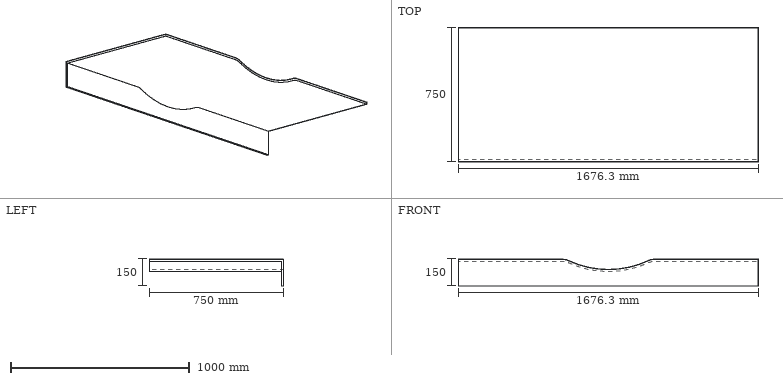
import cadquery as cq
import math

LENGTH = 1676.29
DEPTH = 750.0
HEIGHT = 150.0

THICKNESS = 12.0
FRONT_EDGE_RADIUS = 3.0

TROUGH_RADIUS = 525.0
SHOULDER_RADIUS = 73.0
TROUGH_DEPTH = 57.0

TURN_ANGLE = math.acos(1 - TROUGH_DEPTH / (TROUGH_RADIUS + SHOULDER_RADIUS))


def add_wave(profile, trough_radius, shoulder_radius, top, direction):
    """Continue a profile through shoulder, trough and shoulder to the flat beyond.

    The flats lie at height top; direction is 1 to run towards +X and -1 towards -X.
    """
    sine = math.sin(TURN_ANGLE)
    cosine = math.cos(TURN_ANGLE)
    half_sine = math.sin(TURN_ANGLE / 2)
    half_cosine = math.cos(TURN_ANGLE / 2)
    outer_x = (trough_radius + shoulder_radius) * sine
    joint_x = trough_radius * sine
    middle_x = outer_x - shoulder_radius * half_sine
    joint_z = top - shoulder_radius * (1 - cosine)
    middle_z = top - shoulder_radius * (1 - half_cosine)
    bottom_z = top - TROUGH_DEPTH
    start = -direction
    end = direction
    return (
        profile.lineTo(start * outer_x, top)
        .threePointArc((start * middle_x, middle_z), (start * joint_x, joint_z))
        .threePointArc((0, bottom_z), (end * joint_x, joint_z))
        .threePointArc((end * middle_x, middle_z), (end * outer_x, top))
    )


def upper_profile():
    """Start at the upper left corner and follow the upper surface to the right end."""
    profile = cq.Workplane("XZ", origin=(0, DEPTH / 2, 0)).moveTo(-LENGTH / 2, HEIGHT)
    profile = add_wave(profile, TROUGH_RADIUS, SHOULDER_RADIUS, HEIGHT, 1)
    return profile.lineTo(LENGTH / 2, HEIGHT)


def make_panel():
    """Waved top sheet of constant thickness."""
    underside = HEIGHT - THICKNESS
    profile = upper_profile().lineTo(LENGTH / 2, underside)
    profile = add_wave(
        profile, TROUGH_RADIUS + THICKNESS, SHOULDER_RADIUS - THICKNESS, underside, -1
    )
    return profile.lineTo(-LENGTH / 2, underside).close().extrude(DEPTH)


def make_body():
    """Panel joined to the front apron, whose top follows the waved upper surface."""
    block = upper_profile().lineTo(LENGTH / 2, 0).lineTo(-LENGTH / 2, 0).close().extrude(DEPTH)
    apron_zone = cq.Workplane("XY", origin=(0, -DEPTH / 2, 0)).box(
        LENGTH, THICKNESS, HEIGHT, centered=(True, False, False)
    )
    apron = block.intersect(apron_zone)
    return make_panel().union(apron)


def round_front_edge(body):
    """Round the whole upper edge of the apron's front face, end to end."""
    upper_edges = body.faces("<Y").edges("not(|Z or <Z)")
    return upper_edges.fillet(FRONT_EDGE_RADIUS)


result = round_front_edge(make_body())